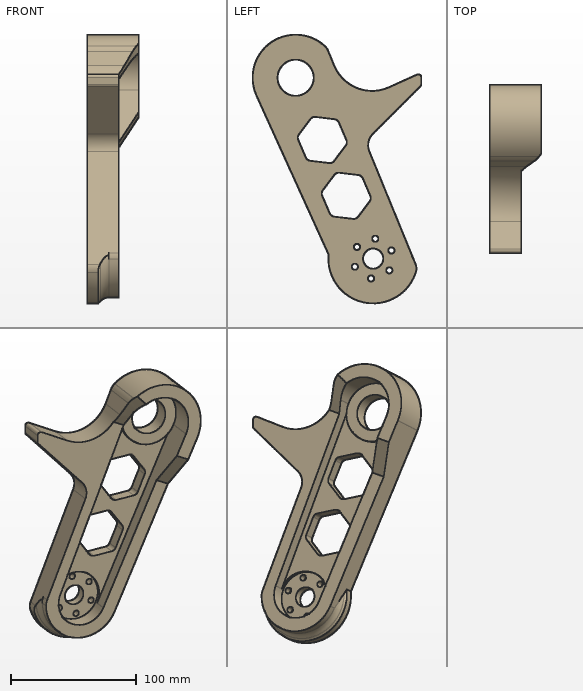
import cadquery as cq
import math

PLATE_THICKNESS = 25.4
EYE_THICKNESS = 41.275
WEB_THICKNESS = 12.7
EYE_WEB_THICKNESS = 15.875
HUB_WEB_THICKNESS = 9.525

ARM_LENGTH = 156.43
ARM_LEAN = 23.2

EYE_RADIUS = 34.29
EYE_BORE = 28.575
FRONT_EDGE_OFFSET = 32.1
FRONT_EDGE_HUB_OFFSET = 29.6
HUB_RADIUS = 35.72
HUB_BACK_RADIUS = 31.0
HUB_BORE = 15.875
RIM_THICKNESS = 8.75
NECK_FILLET = 9.525

BOLT_CIRCLE = 31.75
BOLT_HOLE = 4.76
BOLT_COUNT = 6
BOLT_START_ANGLE = 36.0

HEX_ACROSS_FLATS = 34.925
HEX_CORNER_RADIUS = 4.2
HEX_FROM_HUB = (54.3, 102.6)

RECESS_RADIUS = 32.5
RECESS_START = 2.6
OVERALL_WIDTH = 134.29
PRONG_UNDERSIDE_DROP = 6.1
PRONG_CORNER_RADIUS = 2.54
BLEND_RADIUS = 12.7
NECK_BLEND_RADIUS = 12.7
RIM_BLEND_RADIUS = 9.525

POCKET_RADIUS = 23.5

BOSS_REAR_BOTTOM = 45.9
BOSS_REAR_TOP = 19.5
BOSS_FRONT_BOTTOM = 10.9
BOSS_FRONT_TOP_INNER = -12.0
BOSS_FRONT_TOP_OUTER = -19.0

LEAN = math.radians(ARM_LEAN)
REAR_TAPER = math.asin((EYE_RADIUS - HUB_BACK_RADIUS) / ARM_LENGTH)
FRONT_TAPER = math.asin((FRONT_EDGE_OFFSET - FRONT_EDGE_HUB_OFFSET) / ARM_LENGTH)
HUB = (0, 0)
PIVOT = (ARM_LENGTH * math.sin(LEAN), ARM_LENGTH * math.cos(LEAN))


def arm_point(across, down):
    """(Y, Z) of a point given in the arm frame, measured from the pivot."""
    y = PIVOT[0] - across * math.cos(LEAN) - down * math.sin(LEAN)
    z = PIVOT[1] + across * math.sin(LEAN) - down * math.cos(LEAN)
    return y, z


def tapered_line_point(side, offset, taper, travel):
    """(Y, Z) on a line lying `offset` from the pivot, `travel` beyond the pivot's foot on it.

    `side` is +1 for the front of the arm and -1 for the rear.
    """
    across = offset * math.cos(taper) - travel * math.sin(taper)
    down = offset * math.sin(taper) + travel * math.cos(taper)
    return arm_point(side * across, down)


def front_edge(travel, clearance=0):
    return tapered_line_point(1, FRONT_EDGE_OFFSET + clearance, FRONT_TAPER, travel)


def rear_edge(travel):
    return tapered_line_point(-1, EYE_RADIUS, REAR_TAPER, travel)


def half_chord(radius, offset):
    """Half the chord cut from a circle by a line `offset` from its centre (0 when tangent)."""
    return math.sqrt(max(0, radius**2 - offset**2))


def fillet_at(solid, point, radius):
    """Round the X-direction edge that passes through the (Y, Z) point."""
    reach = 0.3
    box = cq.selectors.BoxSelector(
        (-1, point[0] - reach, point[1] - reach),
        (EYE_THICKNESS + 1, point[0] + reach, point[1] + reach),
    )
    return solid.edges("|X").edges(box).fillet(radius)


def arm_body(hub_radius, hub_blend, thickness):
    """The side outline of the lever, extruded from X = 0."""
    rear_tangent = rear_edge(0)
    eye_corner = front_edge(-half_chord(EYE_RADIUS, FRONT_EDGE_OFFSET))
    eye_top = arm_point(0, -EYE_RADIUS)

    recess_start = front_edge(RECESS_START)
    recess_centre = front_edge(RECESS_START, RECESS_RADIUS)
    prong_slope = LEAN + REAR_TAPER
    recess_end = (
        recess_centre[0] - RECESS_RADIUS * math.sin(prong_slope),
        recess_centre[1] - RECESS_RADIUS * math.cos(prong_slope),
    )
    recess_mid_angle = math.radians(-45) - LEAN
    recess_mid = (
        recess_centre[0] + RECESS_RADIUS * math.cos(recess_mid_angle),
        recess_centre[1] + RECESS_RADIUS * math.sin(recess_mid_angle),
    )

    tip_y = PIVOT[0] + EYE_RADIUS - OVERALL_WIDTH
    tip_top = (tip_y, recess_end[1] + (recess_end[0] - tip_y) * math.tan(prong_slope))
    tip_bottom = (tip_y, PIVOT[1] - PRONG_UNDERSIDE_DROP)
    edge_foot = front_edge(0)
    edge_slope = math.tan(LEAN - FRONT_TAPER)
    gap = edge_foot[0] - tip_y - (edge_foot[1] - tip_bottom[1]) * edge_slope
    armpit_drop = gap / (1 + edge_slope)
    armpit = (tip_y + armpit_drop, tip_bottom[1] - armpit_drop)

    front_run = ARM_LENGTH * math.cos(FRONT_TAPER)
    rear_run = ARM_LENGTH * math.cos(REAR_TAPER)
    hub_front = front_edge(front_run + half_chord(hub_radius, FRONT_EDGE_HUB_OFFSET))
    hub_rear = rear_edge(rear_run - half_chord(hub_radius, HUB_BACK_RADIUS))

    outline = (
        cq.Workplane("YZ")
        .moveTo(*rear_tangent)
        .threePointArc(eye_top, eye_corner)
        .lineTo(*recess_start)
        .threePointArc(recess_mid, recess_end)
        .lineTo(*tip_top)
        .lineTo(*tip_bottom)
        .lineTo(*armpit)
        .lineTo(*hub_front)
        .threePointArc((0, -hub_radius), hub_rear)
        .close()
    )
    body = outline.extrude(thickness)
    body = fillet_at(body, eye_corner, BLEND_RADIUS)
    body = fillet_at(body, armpit, BLEND_RADIUS)
    body = fillet_at(body, hub_front, hub_blend)
    body = fillet_at(body, tip_top, PRONG_CORNER_RADIUS)
    return fillet_at(body, tip_bottom, PRONG_CORNER_RADIUS)


def hub_flare():
    """Turned hub envelope: full rim, 45 degree cone, then a concave fillet down to the neck."""
    cone_angle = math.radians(45)
    fillet_drop = NECK_FILLET * (1 - math.cos(cone_angle))
    cone_length = HUB_RADIUS - HUB_BACK_RADIUS - fillet_drop
    cone_end = RIM_THICKNESS + cone_length
    neck_start = cone_end + NECK_FILLET * math.sin(cone_angle)
    sweep_mid = cone_angle / 2
    fillet_mid = (
        neck_start - NECK_FILLET * math.sin(sweep_mid),
        HUB_BACK_RADIUS + NECK_FILLET * (1 - math.cos(sweep_mid)),
    )
    profile = (
        cq.Workplane("XY")
        .moveTo(0, 0)
        .lineTo(0, HUB_RADIUS)
        .lineTo(RIM_THICKNESS, HUB_RADIUS)
        .lineTo(cone_end, HUB_RADIUS - cone_length)
        .threePointArc(fillet_mid, (neck_start, HUB_BACK_RADIUS))
        .lineTo(neck_start, 0)
        .close()
    )
    return profile.revolve(360, (0, 0, 0), (1, 0, 0))


def boss_section(x, rear, front_inner, front_outer):
    """Boss region at one X: everything above the rear and front limits down the arm.

    The front limit runs from `front_inner`, inside the pocket, to `front_outer` at the eye's edge.
    The section is wider than the eye, so only its lower side shapes the boss.
    """
    far = 2 * EYE_RADIUS
    inner = EYE_RADIUS / 2
    slope = (front_outer - front_inner) / (EYE_RADIUS - inner)
    corners = [
        (-far, -far),
        (-far, rear),
        (-inner, rear),
        (inner, front_inner),
        (far, front_inner + slope * (far - inner)),
        (far, -far),
    ]
    points = [cq.Vector(x, *arm_point(*corner)) for corner in corners]
    return cq.Wire.makePolygon(points, close=True)


def eye_boss_limit():
    """Ruled block whose slanted lower side cuts the boss down to the plate."""
    low = boss_section(PLATE_THICKNESS, BOSS_REAR_BOTTOM, BOSS_FRONT_BOTTOM, BOSS_FRONT_BOTTOM)
    high = boss_section(EYE_THICKNESS, BOSS_REAR_TOP, BOSS_FRONT_TOP_INNER, BOSS_FRONT_TOP_OUTER)
    return cq.Workplane(obj=cq.Solid.makeLoft([low, high], True))


def disc(centre, radius, start, end):
    """Round plate or hole tool between two X positions."""
    return cq.Workplane("YZ", origin=(start, *centre)).circle(radius).extrude(end - start)


def pocket():
    """Tapered slot from the pivot to the hub, open on the +X side, with a stepped floor."""
    hub_end_radius = POCKET_RADIUS - ARM_LENGTH * math.sin(REAR_TAPER)
    run = ARM_LENGTH * math.cos(REAR_TAPER)

    def side_point(side, travel):
        return tapered_line_point(side, POCKET_RADIUS, REAR_TAPER, travel)

    slot = (
        cq.Workplane("YZ", origin=(WEB_THICKNESS, 0, 0))
        .moveTo(*side_point(-1, 0))
        .threePointArc(arm_point(0, -POCKET_RADIUS), side_point(1, 0))
        .lineTo(*side_point(1, run))
        .threePointArc(arm_point(0, ARM_LENGTH + hub_end_radius), side_point(-1, run))
        .close()
        .extrude(EYE_THICKNESS - WEB_THICKNESS)
    )
    eye_step = disc(PIVOT, POCKET_RADIUS, WEB_THICKNESS, EYE_WEB_THICKNESS)
    hub_step = disc(HUB, hub_end_radius, HUB_WEB_THICKNESS, EYE_THICKNESS)
    return slot.cut(eye_step).union(hub_step)


def hex_window(from_hub):
    """Hexagon with rounded corners and two flats parallel to the arm."""
    centre = arm_point(0, ARM_LENGTH - from_hub)
    corner_diameter = HEX_ACROSS_FLATS / math.cos(math.radians(30))
    window = cq.Workplane("YZ").polygon(6, corner_diameter).extrude(EYE_THICKNESS)
    window = window.edges("|X").fillet(HEX_CORNER_RADIUS)
    window = window.rotate((0, 0, 0), (1, 0, 0), 90 - ARM_LEAN)
    return window.translate((0, *centre))


def bolt_holes():
    pattern = cq.Workplane("YZ").polarArray(BOLT_CIRCLE / 2, BOLT_START_ANGLE, 360, BOLT_COUNT)
    return pattern.circle(BOLT_HOLE / 2).extrude(EYE_THICKNESS)


plate = arm_body(HUB_BACK_RADIUS, NECK_BLEND_RADIUS, PLATE_THICKNESS)
hub = arm_body(HUB_RADIUS, RIM_BLEND_RADIUS, PLATE_THICKNESS).intersect(hub_flare())
boss = arm_body(HUB_BACK_RADIUS, NECK_BLEND_RADIUS, EYE_THICKNESS).intersect(eye_boss_limit())

result = plate.union(hub).union(boss).cut(pocket())
for distance in HEX_FROM_HUB:
    result = result.cut(hex_window(distance))
result = result.cut(disc(PIVOT, EYE_BORE / 2, 0, EYE_THICKNESS))
result = result.cut(disc(HUB, HUB_BORE / 2, 0, EYE_THICKNESS))
result = result.cut(bolt_holes())